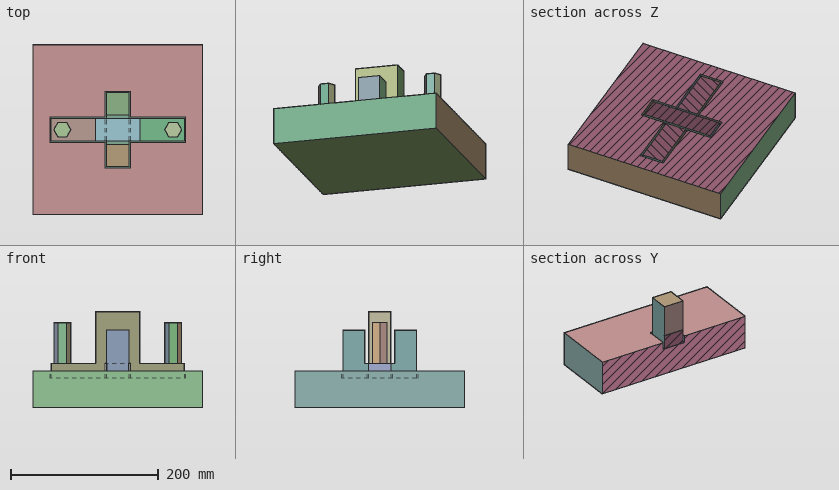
import cadquery as cq
import math

BASE_SIDE = 230
BASE_HEIGHT = 50
POCKET_DEPTH = 10
POCKET_FLOOR = BASE_HEIGHT - POCKET_DEPTH
CLEARANCE = 2

BAR_WIDTH = 30
BAR_TOP = BASE_HEIGHT + 10

LONG_BAR_LENGTH = 180
TOWER_LENGTH = 60
TOWER_TOP = 130

CROSS_BAR_LENGTH = 100
POST_LENGTH = 30
POST_TOP = 105
POST_OFFSET = (CROSS_BAR_LENGTH - POST_LENGTH) / 2

RECESS_WIDTH = BAR_WIDTH + 2 * CLEARANCE

PEG_ACROSS_FLATS = 20
PEG_CORNER_DIAMETER = PEG_ACROSS_FLATS / math.cos(math.pi / 6)
PEG_HEIGHT = 55
PEG_OFFSET = 75


def block(size_x, size_y, bottom, top, center_y=0):
    """Rectangular block centred on x = 0, between two heights."""
    return (
        cq.Workplane("XY", origin=(0, center_y, bottom))
        .rect(size_x, size_y)
        .extrude(top - bottom)
    )


def make_base():
    """Square block with a cross-shaped pocket in its top face."""
    base = block(BASE_SIDE, BASE_SIDE, 0, BASE_HEIGHT)
    long_pocket = block(LONG_BAR_LENGTH + 2 * CLEARANCE, RECESS_WIDTH, POCKET_FLOOR, BASE_HEIGHT)
    cross_pocket = block(RECESS_WIDTH, CROSS_BAR_LENGTH + 2 * CLEARANCE, POCKET_FLOOR, BASE_HEIGHT)
    return base.cut(long_pocket).cut(cross_pocket)


def make_long_bar():
    """Bar along X with a central tower, slotted below for the cross bar."""
    bar = block(LONG_BAR_LENGTH, BAR_WIDTH, POCKET_FLOOR, BAR_TOP)
    tower = block(TOWER_LENGTH, BAR_WIDTH, POCKET_FLOOR, TOWER_TOP)
    slot = block(RECESS_WIDTH, BAR_WIDTH, POCKET_FLOOR, BAR_TOP)
    return bar.union(tower).cut(slot)


def make_cross_bar():
    """Bar along Y that passes under the tower, with a post at each end."""
    bar = block(BAR_WIDTH, CROSS_BAR_LENGTH, POCKET_FLOOR, BAR_TOP)
    for side in (-1, 1):
        post = block(BAR_WIDTH, POST_LENGTH, POCKET_FLOOR, POST_TOP, side * POST_OFFSET)
        bar = bar.union(post)
    return bar


def make_peg(center_x):
    """Hexagonal peg with two corners pointing along X."""
    return (
        cq.Workplane("XY", origin=(center_x, 0, BAR_TOP))
        .polygon(6, PEG_CORNER_DIAMETER)
        .extrude(PEG_HEIGHT)
    )


base = make_base()
long_bar = make_long_bar()
cross_bar = make_cross_bar()
pegs = [make_peg(side * PEG_OFFSET) for side in (-1, 1)]

result = cq.Compound.makeCompound(
    [base.val(), long_bar.val(), cross_bar.val(), *[peg.val() for peg in pegs]]
)